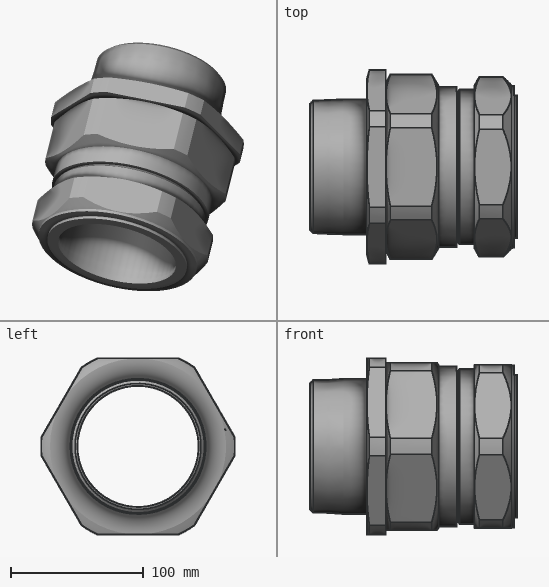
import cadquery as cq
import math


BORE_RADIUS = 45.5

TIP_RADIUS = 47.5
TAPER_START_X = 2.5
TAPER_START_RADIUS = 50.0
SHANK_START_X = 25.3
SHANK_RADIUS = 51.0

LOCK_NUT_START_X = 42.9
LOCK_NUT_END_X = 57.3
LOCK_NUT_FLATS = 133.0
LOCK_NUT_WIDTH = 146.2
LOCK_NUT_CORNER_RADIUS = LOCK_NUT_WIDTH / 2
LOCK_NUT_FACE_RADIUS = 66.3
LOCK_NUT_CHAMFER = 1.9

BODY_NUT_FLATS = 126.4
BODY_NUT_CORNER_RADIUS = 69.7
BODY_NUT_FACE_RADIUS = 63.0
BODY_NUT_CHAMFER = 3.3
BODY_NUT_TAPER_X = 91.7
BODY_NUT_END_X = 97.2

BODY_COLLAR_RADIUS = 60.5
BODY_COLLAR_END_X = 110.5
GROOVE_RADIUS = 56.8
GROOVE_END_X = 111.7
END_COLLAR_RADIUS = 58.5
END_COLLAR_CHAMFER = 1.1

END_NUT_START_X = 123.9
END_NUT_FLATS = 123.2
END_NUT_CORNER_RADIUS = 67.9
END_NUT_FACE_RADIUS = 61.3
END_NUT_CHAMFER = 3.7
END_NUT_TAPER_X = 145.4
END_NUT_END_X = 152.0

RIM_EDGE_X = 152.5
RIM_RADIUS = 61.2
RIM_END_X = 153.8
END_RING_RADIUS = 53.8
LENGTH = 156.0


def turned(profile):
    """Solid of revolution about X; profile lists (x, radius) from one end to the other."""
    first_x = profile[0][0]
    last_x = profile[-1][0]
    outline = [(first_x, 0)] + profile + [(last_x, 0)]
    return cq.Workplane("XY").polyline(outline).close().revolve(360, (0, 0, 0), (1, 0, 0))


def hex_nut(across_flats, profile):
    """Hexagon with flats facing +Z and -Z, its corners cut back to a turned profile."""
    start_x = profile[0][0]
    end_x = profile[-1][0]
    corner_diameter = across_flats / math.cos(math.pi / 6)
    prism = (
        cq.Workplane("YZ", origin=(start_x, 0, 0))
        .polygon(6, corner_diameter)
        .extrude(end_x - start_x)
    )
    return prism.intersect(turned(profile))


spigot = turned([
    (0, TIP_RADIUS),
    (TAPER_START_X, TAPER_START_RADIUS),
    (SHANK_START_X, SHANK_RADIUS),
    (LOCK_NUT_END_X, SHANK_RADIUS),
])

lock_nut = hex_nut(LOCK_NUT_FLATS, [
    (LOCK_NUT_START_X, LOCK_NUT_FACE_RADIUS),
    (LOCK_NUT_START_X + LOCK_NUT_CHAMFER, LOCK_NUT_CORNER_RADIUS),
    (LOCK_NUT_END_X, LOCK_NUT_CORNER_RADIUS),
])

body_nut = hex_nut(BODY_NUT_FLATS, [
    (LOCK_NUT_END_X, BODY_NUT_FACE_RADIUS),
    (LOCK_NUT_END_X + BODY_NUT_CHAMFER, BODY_NUT_CORNER_RADIUS),
    (BODY_NUT_TAPER_X, BODY_NUT_CORNER_RADIUS),
    (BODY_NUT_END_X, BODY_COLLAR_RADIUS),
])

collars = turned([
    (BODY_NUT_END_X, BODY_COLLAR_RADIUS),
    (BODY_COLLAR_END_X, BODY_COLLAR_RADIUS),
    (BODY_COLLAR_END_X, GROOVE_RADIUS),
    (GROOVE_END_X, GROOVE_RADIUS),
    (GROOVE_END_X + END_COLLAR_CHAMFER, END_COLLAR_RADIUS),
    (END_NUT_START_X, END_COLLAR_RADIUS),
])

end_nut = hex_nut(END_NUT_FLATS, [
    (END_NUT_START_X, END_NUT_FACE_RADIUS),
    (END_NUT_START_X + END_NUT_CHAMFER, END_NUT_CORNER_RADIUS),
    (END_NUT_TAPER_X, END_NUT_CORNER_RADIUS),
    (END_NUT_END_X, END_NUT_FACE_RADIUS),
])

end_ring = turned([
    (END_NUT_END_X, END_NUT_FACE_RADIUS),
    (RIM_EDGE_X, RIM_RADIUS),
    (RIM_END_X, RIM_RADIUS),
    (RIM_END_X, END_RING_RADIUS),
    (LENGTH, END_RING_RADIUS),
])

bore = turned([
    (0, BORE_RADIUS),
    (LENGTH, BORE_RADIUS),
])

result = spigot
for section in (lock_nut, body_nut, collars, end_nut, end_ring):
    result = result.union(section)
result = result.cut(bore)